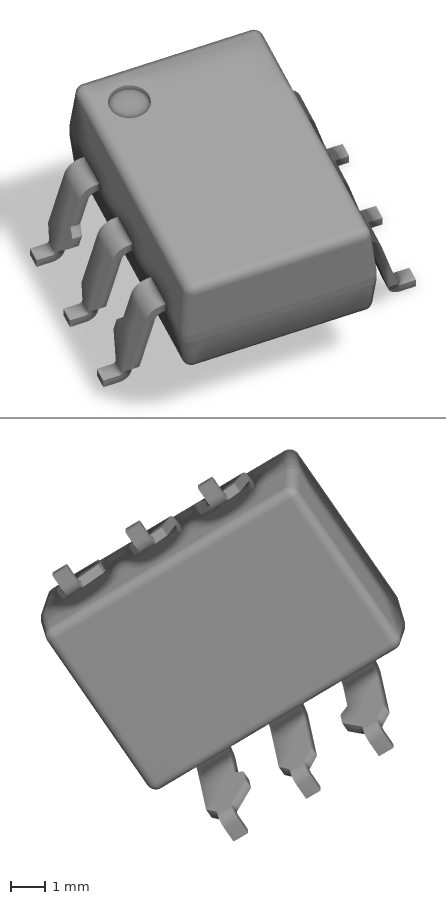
import cadquery as cq
import math

HOUSING_LENGTH = 8.89
HOUSING_WIDTH = 6.18
BAND_HEIGHT = 0.3
UPPER_HEIGHT = 1.88
LOWER_HEIGHT = 1.35
DRAFT = 5.0
HOUSING_FILLET = 0.3

MARK_RADIUS = 0.62
MARK_DEPTH = 0.15
MARK_DRAFT = 10.0
MARK_X = -3.01
MARK_Y = -1.69

OVERALL_WIDTH = 9.9
LEAD_THICKNESS = 0.3
LEAD_PITCH = 2.51
LEADS_PER_ROW = 3
LEAD_DROP = 3.2
LEG_BEND = 75.0
SHOULDER_RADIUS = 0.31
FOOT_RADIUS = 0.1
FOOT_LENGTH = 0.495
ROW_ROLL = 0.9

STEM_WIDTH = 1.13
FOOT_WIDTH = 0.495
TAPER_HEIGHT = 0.39
TAPER_END_DROP = 2.79
EAR_WIDTH = 0.28
EAR_TOP_DROP = 1.5
EAR_SLOPE_HEIGHT = 0.22
EAR_BOTTOM_DROP = 2.12

BAND_TOP = BAND_HEIGHT / 2
HOUSING_TOP = BAND_TOP + UPPER_HEIGHT
SHOULDER_TOP = LEAD_THICKNESS / 2


def drafted_half(height):
    """Drafted block standing on Z = 0, rounded on every edge but those of its base."""
    block = (
        cq.Workplane("XY").rect(HOUSING_LENGTH, HOUSING_WIDTH)
        .extrude(height, taper=DRAFT)
    )
    return block.edges("not(<Z)").fillet(HOUSING_FILLET)


def make_housing():
    upper = drafted_half(UPPER_HEIGHT).translate((0, 0, BAND_TOP))
    lower = drafted_half(LOWER_HEIGHT).mirror("XY").translate((0, 0, -BAND_TOP))
    band = upper.faces("<Z").wires().toPending().extrude(-BAND_HEIGHT, combine=False)
    mark = (
        cq.Workplane("XY").workplane(offset=HOUSING_TOP)
        .center(MARK_X, MARK_Y).circle(MARK_RADIUS).extrude(-MARK_DEPTH, taper=MARK_DRAFT)
    )
    return upper.union(band).union(lower).cut(mark).solids()


def lead_profile():
    """Bent strip of even thickness, from the housing side out to the foot tip."""
    bend = math.radians(LEG_BEND)
    shoulder_outer = SHOULDER_RADIUS + LEAD_THICKNESS
    foot_outer = FOOT_RADIUS + LEAD_THICKNESS
    shoulder_z = SHOULDER_TOP - shoulder_outer
    foot_z = SHOULDER_TOP - LEAD_DROP + foot_outer
    foot_y = -(OVERALL_WIDTH / 2 - FOOT_LENGTH)

    reach = shoulder_outer + FOOT_RADIUS
    leg_run = (shoulder_z - foot_z + reach * math.cos(bend)) / math.tan(bend)
    shoulder_y = foot_y + leg_run + reach * math.sin(bend)

    def at_shoulder(radius, turn):
        return (shoulder_y - radius * math.sin(turn), shoulder_z + radius * math.cos(turn))

    def at_foot(radius, turn):
        return (foot_y + radius * math.sin(turn), foot_z - radius * math.cos(turn))

    root_y = -HOUSING_WIDTH / 2
    tip_y = -OVERALL_WIDTH / 2
    return (
        cq.Workplane("YZ")
        .moveTo(root_y, SHOULDER_TOP)
        .lineTo(*at_shoulder(shoulder_outer, 0))
        .threePointArc(at_shoulder(shoulder_outer, bend / 2), at_shoulder(shoulder_outer, bend))
        .lineTo(*at_foot(FOOT_RADIUS, bend))
        .threePointArc(at_foot(FOOT_RADIUS, bend / 2), at_foot(FOOT_RADIUS, 0))
        .lineTo(tip_y, foot_z - FOOT_RADIUS)
        .lineTo(tip_y, foot_z - foot_outer)
        .lineTo(*at_foot(foot_outer, 0))
        .threePointArc(at_foot(foot_outer, bend / 2), at_foot(foot_outer, bend))
        .lineTo(*at_shoulder(SHOULDER_RADIUS, bend))
        .threePointArc(at_shoulder(SHOULDER_RADIUS, bend / 2), at_shoulder(SHOULDER_RADIUS, 0))
        .lineTo(root_y, SHOULDER_TOP - LEAD_THICKNESS)
        .close()
    )


def lead_outline(has_ear):
    """Outline of the lead in the XZ plane, with any ear on the +X edge."""
    half_stem = STEM_WIDTH / 2
    half_foot = FOOT_WIDTH / 2
    taper_end = SHOULDER_TOP - TAPER_END_DROP
    taper_start = taper_end + TAPER_HEIGHT
    bottom = SHOULDER_TOP - LEAD_DROP
    if has_ear:
        ear_edge = half_stem + EAR_WIDTH
        ear_top = SHOULDER_TOP - EAR_TOP_DROP
        right_edge = [
            (half_stem, ear_top),
            (ear_edge, ear_top - EAR_SLOPE_HEIGHT),
            (ear_edge, SHOULDER_TOP - EAR_BOTTOM_DROP),
        ]
    else:
        right_edge = [(half_stem, taper_start)]
    return cq.Workplane("XZ").polyline([
        (-half_stem, SHOULDER_TOP),
        (half_stem, SHOULDER_TOP),
        *right_edge,
        (half_foot, taper_end),
        (half_foot, bottom),
        (-half_foot, bottom),
        (-half_foot, taper_end),
        (-half_stem, taper_start),
    ]).close()


def make_lead(ear_side):
    """One lead centred on X = 0; ear_side is +1 or -1 for an ear on that edge, 0 for none."""
    strip_width = STEM_WIDTH + 2 * EAR_WIDTH
    strip = lead_profile().extrude(strip_width / 2, both=True)
    lead = strip.intersect(lead_outline(ear_side != 0).extrude(OVERALL_WIDTH / 2))
    return lead.mirror("YZ") if ear_side < 0 else lead


def make_leads():
    """Both rows: the +Y row is the -Y row turned half a turn about Z."""
    leads = []
    middle = (LEADS_PER_ROW - 1) / 2
    for half_turn in (0, 180):
        for index in range(LEADS_PER_ROW):
            place = index - middle
            ear_side = 0 if place == 0 else -math.copysign(1, place)
            lead = make_lead(ear_side).translate((place * LEAD_PITCH, 0, 0))
            lead = lead.rotate((0, 0, 0), (0, 1, 0), -ROW_ROLL)
            leads.append(lead.rotate((0, 0, 0), (0, 0, 1), half_turn).solids())
    return leads


housing = make_housing()
leads = make_leads()

result = cq.Compound.makeCompound([housing.val(), *[lead.val() for lead in leads]])